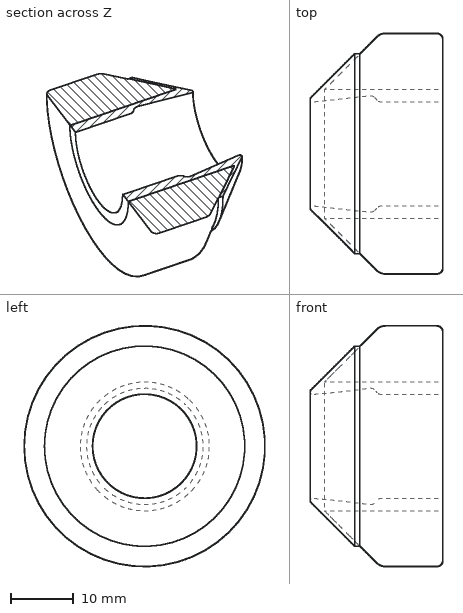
import cadquery as cq
import math


total_length = 21.22
housing_radius = 38.5 / 2

nose_rim_radius = 16.0
tip_rounding = 0.4
tip_bore_radius = 16.6 / 2

cylinder_length = 10.0
front_rounding = 2.0
rear_rounding = 1.0
front_corner_x = total_length - cylinder_length
rim_end = front_corner_x - (housing_radius - nose_rim_radius)

widest_bore_radius = 18.6 / 2
rear_bore_radius = tip_bore_radius
step_start = 9.5
step_length = 2.0

sleeve_wall = 1.0
sleeve_radius = widest_bore_radius + sleeve_wall
sleeve_start = rim_end - (nose_rim_radius - sleeve_radius)


def turned(profile):
    """Revolve an (x, radius) profile, once closed, a full turn about the X axis."""
    return profile.close().revolve(360, (0, 0, 0), (1, 0, 0))


def make_nose():
    diagonal = tip_rounding * math.sqrt(0.5)
    tip_center_radius = tip_bore_radius + tip_rounding
    cone_start_x = tip_rounding - diagonal
    cone_start_radius = tip_center_radius + diagonal
    rim_start = cone_start_x + nose_rim_radius - cone_start_radius
    step_end = step_start + step_length
    step_middle_x = step_start + step_length / 2
    step_middle_radius = (widest_bore_radius + rear_bore_radius) / 2
    profile = (
        cq.Workplane("XY")
        .moveTo(cone_start_x, cone_start_radius)
        .threePointArc(
            (cone_start_x, tip_center_radius - diagonal),
            (tip_rounding, tip_bore_radius),
        )
        .lineTo(step_start, widest_bore_radius)
        .tangentArcPoint((step_middle_x, step_middle_radius), relative=False)
        .tangentArcPoint((step_end, rear_bore_radius), relative=False)
        .lineTo(total_length, rear_bore_radius)
        .lineTo(total_length, sleeve_radius)
        .lineTo(sleeve_start, sleeve_radius)
        .lineTo(rim_end, nose_rim_radius)
        .lineTo(rim_start, nose_rim_radius)
    )
    return turned(profile)


def make_housing():
    setback = front_rounding * math.tan(math.radians(45 / 2))
    setback_on_cone = setback * math.sqrt(0.5)
    profile = (
        cq.Workplane("XY")
        .moveTo(sleeve_start, sleeve_radius)
        .lineTo(front_corner_x - setback_on_cone, housing_radius - setback_on_cone)
        .tangentArcPoint((front_corner_x + setback, housing_radius), relative=False)
        .lineTo(total_length - rear_rounding, housing_radius)
        .tangentArcPoint((total_length, housing_radius - rear_rounding), relative=False)
        .lineTo(total_length, sleeve_radius)
    )
    return turned(profile)


nose = make_nose()
housing = make_housing()
result = cq.Compound.makeCompound([nose.val(), housing.val()])